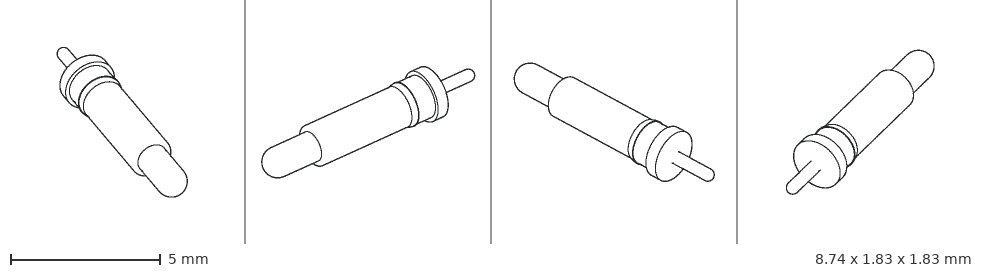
import cadquery as cq
import math

length = 8.74

tail_radius = 0.22
root_fillet = 0.08
flange_diameter = 1.83
flange_start = 1.75
flange_thickness = 0.43
collar_radius = 0.77
collar_end = 2.88
barb_radius = 0.795
barb_length = 0.25
barrel_radius = 0.73
barrel_end = 6.77
rim_fillet = 0.08
plunger_radius = 0.53

flange_radius = flange_diameter / 2
flange_end = flange_start + flange_thickness
barb_end = collar_end + barb_length
plunger_dome_start = length - plunger_radius
diagonal = math.sqrt(0.5)

flank_bulge = 0.013
flank_middle = (
    collar_end + barb_length / 2,
    (barb_radius + barrel_radius) / 2 + flank_bulge,
)


def half_profile():
    """Closed outline in the XY plane, from the axis to the outer surface."""
    return (
        cq.Workplane("XY")
        .moveTo(0, 0)
        .threePointArc(
            (tail_radius * (1 - diagonal), tail_radius * diagonal),
            (tail_radius, tail_radius),
        )
        .lineTo(flange_start - root_fillet, tail_radius)
        .threePointArc(
            (
                flange_start - root_fillet * (1 - diagonal),
                tail_radius + root_fillet * (1 - diagonal),
            ),
            (flange_start, tail_radius + root_fillet),
        )
        .lineTo(flange_start, flange_radius)
        .lineTo(flange_end, flange_radius)
        .lineTo(flange_end, collar_radius)
        .lineTo(collar_end, collar_radius)
        .lineTo(collar_end, barb_radius)
        .threePointArc(flank_middle, (barb_end, barrel_radius))
        .lineTo(barrel_end - rim_fillet, barrel_radius)
        .threePointArc(
            (
                barrel_end - rim_fillet * (1 - diagonal),
                barrel_radius - rim_fillet * (1 - diagonal),
            ),
            (barrel_end, barrel_radius - rim_fillet),
        )
        .lineTo(barrel_end, plunger_radius)
        .lineTo(plunger_dome_start, plunger_radius)
        .threePointArc(
            (plunger_dome_start + plunger_radius * diagonal, plunger_radius * diagonal),
            (length, 0),
        )
        .close()
    )


result = half_profile().revolve(360, (0, 0, 0), (1, 0, 0))